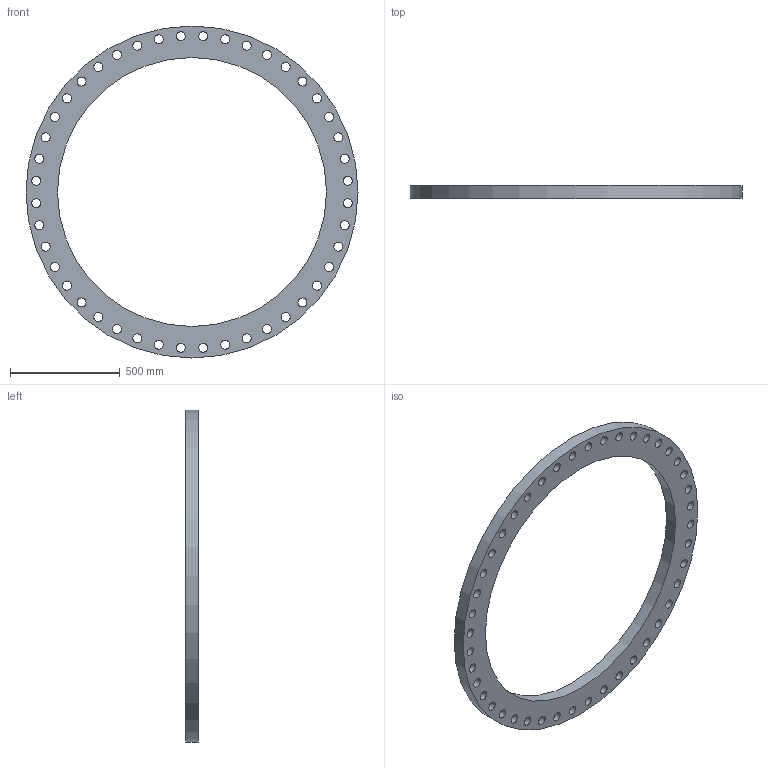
import cadquery as cq

outer_diameter = 1511.3
bore_diameter = 1224.03
thickness = 58.04
bolt_circle_diameter = 1422.4
bolt_hole_diameter = 41.27
bolt_hole_count = 44

hole_spacing_angle = 360 / bolt_hole_count
first_hole_angle = hole_spacing_angle / 2


def make_ring():
    """Flat ring whose axis is Y, centred on the origin."""
    return (
        cq.Workplane("XZ", origin=(0, thickness / 2, 0))
        .circle(outer_diameter / 2)
        .circle(bore_diameter / 2)
        .extrude(thickness)
    )


def make_bolt_holes():
    """Cylinders that cut the evenly spaced through holes on the bolt circle."""
    return (
        cq.Workplane("XZ", origin=(0, thickness / 2, 0))
        .polarArray(bolt_circle_diameter / 2, first_hole_angle, 360, bolt_hole_count)
        .circle(bolt_hole_diameter / 2)
        .extrude(thickness)
    )


result = make_ring().cut(make_bolt_holes())